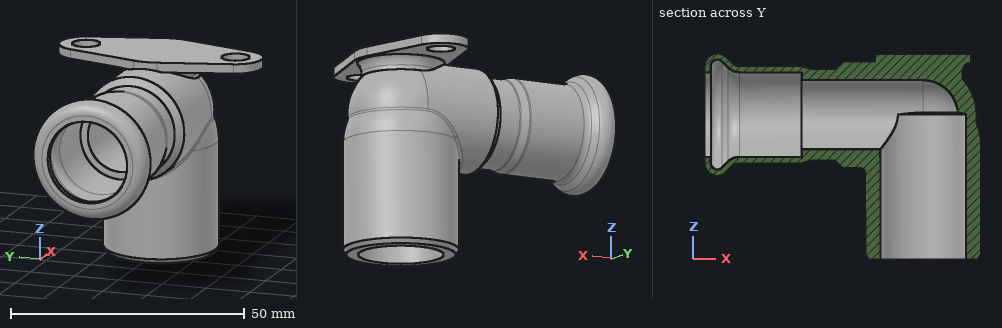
import cadquery as cq
import math


inlet_end_x = -47.0
tube_radius = 21.0 / 2
neck_radius = 19.8 / 2
body_radius = 23.0 / 2
tube_end_x = -26.05
neck_start_x = -23.9
neck_end_x = -19.0
taper_fillet = 1.2
body_start_x = neck_end_x + body_radius - neck_radius

bead_top_radius = 13.2
bead_round = 2.85
bead_root_round = 2.15
bead_center_x = inlet_end_x + bead_round
bead_center_radius = bead_top_radius - bead_round

socket_radius = 9.05
wall = tube_radius - socket_radius
socket_end_x = tube_end_x
passage_radius = 7.4

outlet_radius = 12.5
outlet_dome_z = -6.5
outlet_bottom_z = -31.05
outlet_chamfer_height = 1.1
outlet_chamfer_width = 0.7
outlet_bore_radius = 9.15
outlet_bore_cone_top_z = 0.5
junction_fillet = 1.0

flange_top_z = 13.1
flange_thickness = 2.15
flange_bottom_z = flange_top_z - flange_thickness
flange_mid_radius = 10.35
flange_end_radius = 5.95
flange_hole_diameter = 6.0
flange_hole_offset = 17.0
flange_neck_radius = 8.45
flange_flare_radius = 9.4
flange_flare_start_z = 8.8


def revolve_about_x(profile):
    """Revolve an (x, radius) profile in the XZ plane about the inlet axis."""
    return profile.close().revolve(360, (0, 0, 0), (1, 0, 0))


def revolve_about_z(profile):
    """Revolve a (radius, z) profile in the XZ plane about the outlet axis."""
    return profile.close().revolve(360, (0, 0, 0), (0, 1, 0))


def is_seam(edge):
    """True for an edge that lies on both the inlet and the outlet surface."""
    tolerance = 0.005
    for fraction in (0.2, 0.5, 0.8):
        point = edge.positionAt(fraction)
        inlet_distance = math.hypot(max(point.x, 0), point.y, point.z)
        outlet_distance = math.hypot(point.x, point.y, max(point.z - outlet_dome_z, 0))
        if abs(inlet_distance - body_radius) > tolerance:
            return False
        if abs(outlet_distance - outlet_radius) > tolerance:
            return False
    return True


def make_body():
    """Domed end of the inlet joined to the domed outlet, blended at the seam."""
    inlet_body = (
        cq.Workplane("XZ")
        .moveTo(body_start_x, 0)
        .lineTo(body_start_x, body_radius)
        .lineTo(0, body_radius)
        .radiusArc((body_radius, 0), body_radius)
    )
    dome_side = outlet_radius * math.sqrt(0.5)
    outlet = (
        cq.Workplane("XZ")
        .moveTo(0, outlet_bottom_z)
        .lineTo(outlet_radius - outlet_chamfer_width, outlet_bottom_z)
        .lineTo(outlet_radius, outlet_bottom_z + outlet_chamfer_height)
        .lineTo(outlet_radius, outlet_dome_z)
        .threePointArc((dome_side, outlet_dome_z + dome_side), (0, outlet_dome_z + outlet_radius))
    )
    inlet_body = revolve_about_x(inlet_body)
    outlet = revolve_about_z(outlet)
    joined = inlet_body.union(outlet)
    seam = [edge for edge in joined.edges().vals() if is_seam(edge)]
    return joined.newObject(seam).fillet(junction_fillet)


def add_bead(profile, inset):
    """Continue a profile over the bead, its 45 degree cone and the root bend.

    The inset moves the path inwards: 0 for the outside, the wall for the inside.
    """
    slope = math.sqrt(0.5)
    crest_round = bead_round - inset
    root_round = bead_root_round + inset
    end_radius = tube_radius - inset
    cone_top_x = bead_center_x + crest_round * slope
    cone_top_radius = bead_center_radius + crest_round * slope
    cone_foot_radius = end_radius + root_round * (1 - slope)
    cone_foot_x = cone_top_x + cone_top_radius - cone_foot_radius
    return (
        profile
        .threePointArc((bead_center_x, bead_center_radius + crest_round), (cone_top_x, cone_top_radius))
        .lineTo(cone_foot_x, cone_foot_radius)
        .radiusArc((cone_foot_x + root_round * slope, end_radius), -root_round)
    )


def make_tube():
    """Beaded inlet tube with its narrow neck and 45 degree shoulder."""
    profile = (
        cq.Workplane("XZ")
        .moveTo(inlet_end_x, 0)
        .lineTo(inlet_end_x, bead_center_radius)
    )
    profile = (
        add_bead(profile, 0)
        .lineTo(tube_end_x, tube_radius)
        .lineTo(neck_start_x, neck_radius)
        .lineTo(neck_end_x, neck_radius)
        .lineTo(body_start_x, body_radius)
        .lineTo(body_start_x, 0)
    )
    taper_ends = cq.selectors.BoxSelector(
        (tube_end_x - taper_fillet, -tube_radius, -tube_radius),
        (neck_start_x + taper_fillet, tube_radius, tube_radius),
    )
    return revolve_about_x(profile).edges("%CIRCLE").edges(taper_ends).fillet(taper_fillet)


def make_flange():
    """Two-hole lozenge flange on a flared neck."""
    lean = math.asin((flange_mid_radius - flange_end_radius) / flange_hole_offset)
    mid_x = flange_mid_radius * math.cos(lean)
    mid_y = flange_mid_radius * math.sin(lean)
    end_x = flange_end_radius * math.cos(lean)
    end_y = flange_hole_offset + flange_end_radius * math.sin(lean)
    tip_y = flange_hole_offset + flange_end_radius
    plate = (
        cq.Workplane("XY", origin=(0, 0, flange_bottom_z))
        .moveTo(mid_x, mid_y)
        .lineTo(end_x, end_y)
        .threePointArc((0, tip_y), (-end_x, end_y))
        .lineTo(-mid_x, mid_y)
        .threePointArc((-flange_mid_radius, 0), (-mid_x, -mid_y))
        .lineTo(-end_x, -end_y)
        .threePointArc((0, -tip_y), (end_x, -end_y))
        .lineTo(mid_x, -mid_y)
        .threePointArc((flange_mid_radius, 0), (mid_x, mid_y))
        .close()
        .extrude(flange_thickness)
    )
    holes = (
        cq.Workplane("XY", origin=(0, 0, flange_bottom_z))
        .pushPoints([(0, flange_hole_offset), (0, -flange_hole_offset)])
        .circle(flange_hole_diameter / 2)
        .extrude(flange_thickness)
    )
    flare_height = flange_bottom_z - flange_flare_start_z
    flare_width = flange_flare_radius - flange_neck_radius
    flare_round = (flare_height**2 + flare_width**2) / (2 * flare_width)
    neck = (
        cq.Workplane("XZ")
        .lineTo(flange_neck_radius, 0)
        .lineTo(flange_neck_radius, flange_flare_start_z)
        .radiusArc((flange_flare_radius, flange_bottom_z), flare_round)
        .lineTo(0, flange_bottom_z)
    )
    return plate.cut(holes).union(revolve_about_z(neck))


def make_inlet_bore():
    """Socket, hollow inside the bead, stepping down to the domed passage."""
    profile = (
        cq.Workplane("XZ")
        .moveTo(inlet_end_x, 0)
        .lineTo(inlet_end_x, socket_radius)
        .lineTo(inlet_end_x + wall, socket_radius)
        .lineTo(inlet_end_x + wall, bead_center_radius)
    )
    profile = (
        add_bead(profile, wall)
        .lineTo(socket_end_x, socket_radius)
        .lineTo(socket_end_x, passage_radius)
        .lineTo(0, passage_radius)
        .radiusArc((passage_radius, 0), passage_radius)
    )
    return revolve_about_x(profile)


def make_outlet_bore():
    """Wide outlet bore closing in a shallow cone at the passage dome."""
    profile = (
        cq.Workplane("XZ")
        .moveTo(0, outlet_bottom_z)
        .lineTo(outlet_bore_radius, outlet_bottom_z)
        .lineTo(outlet_bore_radius, 0)
        .lineTo(passage_radius, outlet_bore_cone_top_z)
        .lineTo(0, outlet_bore_cone_top_z)
    )
    return revolve_about_z(profile)


result = make_body().union(make_tube()).union(make_flange())
result = result.cut(make_inlet_bore()).cut(make_outlet_bore())